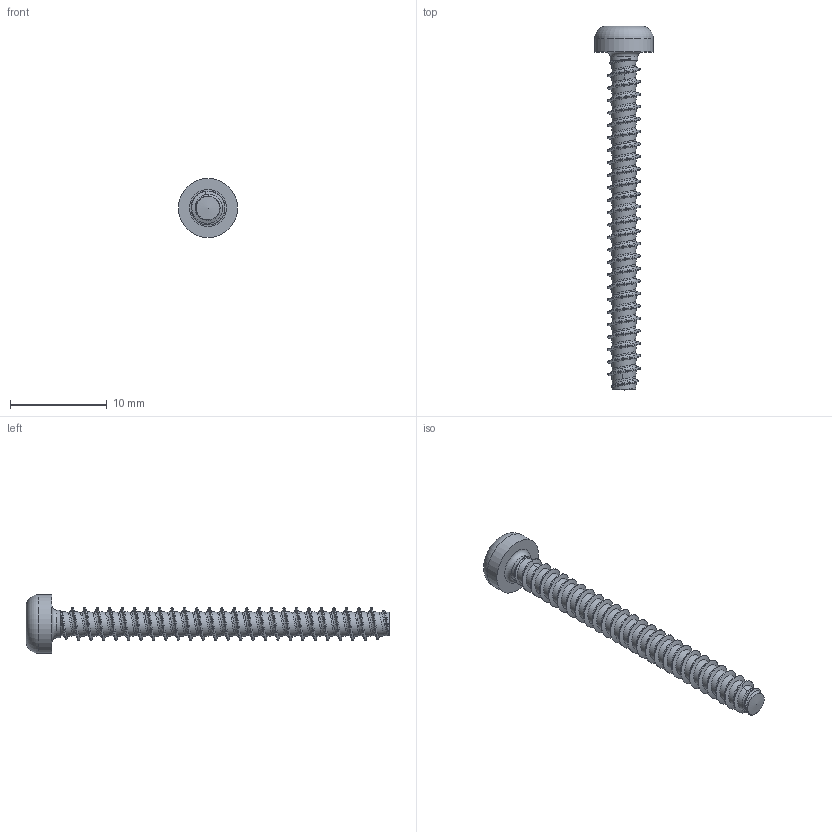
import cadquery as cq
import math


head_diameter = 6.1
head_height = 2.69
head_round = 1.3

collar_radius = 1.42
collar_length = 0.88
collar_fillet = 0.5

shank_length = 35.0
tip_cone_height = 0.09
core_length = shank_length - tip_cone_height
core_radius = 1.22

thread_pitch = 1.29
thread_radius = 1.75
crest_half_width = 0.03
root_radius = 1.31
root_half_width = 0.14
head_side_slope = math.radians(22)
tip_side_slope = math.radians(8.3)
foot_radius = core_radius - 0.015
buried_radius = 0.7

thread_start = 0.3
thread_start_radius = 1.32
full_thread_start = 2.1
full_thread_end = 33.1
thread_end = 35.2
thread_end_radius = 1.21

crest_depth = 33.07
crest_facing = -math.pi / 2
points_per_turn = 12


def make_head():
    head = cq.Workplane("XY").circle(head_diameter / 2).extrude(head_height)
    return head.faces(">Z").edges().fillet(head_round)


def make_collar():
    """Plain neck with a concave fillet against the underside of the head."""
    arc_inset = collar_fillet * (1 - math.sqrt(0.5))
    profile = (
        cq.Workplane("XZ")
        .moveTo(0, 0)
        .lineTo(collar_radius + collar_fillet, 0)
        .threePointArc(
            (collar_radius + arc_inset, -arc_inset),
            (collar_radius, -collar_fillet),
        )
        .lineTo(collar_radius, -collar_length)
        .lineTo(0, -collar_length)
        .close()
    )
    return profile.revolve(360, (0, 0, 0), (0, 1, 0))


def make_core():
    """Shank without the thread, ending in the shallow tip cone."""
    outline = [
        (0, 0),
        (core_radius, 0),
        (core_radius, -core_length),
        (0, -shank_length),
    ]
    return cq.Workplane("XZ").polyline(outline).close().revolve(360, (0, 0, 0), (0, 1, 0))


def thread_section(crest_radius):
    """Corners (radius, height) of the ridge's cross-section for a given crest radius."""
    root_top = min(root_radius, crest_radius)
    foot_drop = root_radius - foot_radius
    head_side_foot = root_half_width + foot_drop / math.tan(head_side_slope)
    tip_side_foot = -root_half_width - foot_drop / math.tan(tip_side_slope)
    return [
        (buried_radius, head_side_foot),
        (foot_radius, head_side_foot),
        (root_top, root_half_width),
        (crest_radius, crest_half_width),
        (crest_radius, -crest_half_width),
        (root_top, -root_half_width),
        (foot_radius, tip_side_foot),
        (buried_radius, tip_side_foot),
    ]


def helix_point(corner, depth):
    """Place of a cross-section corner when the ridge has turned to the given depth."""
    radius, height = corner
    angle = crest_facing + 2 * math.pi * (crest_depth - depth) / thread_pitch
    return cq.Vector(radius * math.cos(angle), radius * math.sin(angle), height - depth)


def helix_edge(start_corner, end_corner, start_depth, end_depth):
    """Path of one cross-section corner between two depths, its radius changing steadily."""
    start_radius, height = start_corner
    end_radius = end_corner[0]
    turns = (end_depth - start_depth) / thread_pitch
    steps = math.ceil(turns * points_per_turn)
    points = []
    for step in range(steps + 1):
        part = step / steps
        radius = start_radius + (end_radius - start_radius) * part
        depth = start_depth + (end_depth - start_depth) * part
        points.append(helix_point((radius, height), depth))
    return cq.Edge.makeSpline(points)


def thread_sides(start, end):
    """Helical faces between two stations, each a (depth, crest radius) pair."""
    start_depth, start_crest = start
    end_depth, end_crest = end
    corner_pairs = zip(thread_section(start_crest), thread_section(end_crest))
    edges = [helix_edge(first, last, start_depth, end_depth) for first, last in corner_pairs]
    return [cq.Face.makeRuledSurface(edges[i - 1], edges[i]) for i in range(len(edges))]


def thread_cap(station):
    """Flat face closing the ridge at one end."""
    depth, crest_radius = station
    corners = [helix_point(corner, depth) for corner in thread_section(crest_radius)]
    return cq.Face.makeFromWires(cq.Wire.makePolygon(corners, close=True))


def make_thread():
    """Ridge that grows, runs at full height and fades, cut off level with the end of the core."""
    stations = [
        (thread_start, thread_start_radius),
        (full_thread_start, thread_radius),
        (full_thread_end, thread_radius),
        (thread_end, thread_end_radius),
    ]
    faces = [thread_cap(stations[0]), thread_cap(stations[-1])]
    for start, end in zip(stations, stations[1:]):
        faces.extend(thread_sides(start, end))
    ridge = cq.Workplane(cq.Solid.makeSolid(cq.Shell.makeShell(faces)))
    kept_length = cq.Workplane("XY").circle(head_diameter / 2).extrude(-core_length)
    return ridge.intersect(kept_length)


screw = make_core().union(make_thread()).union(make_collar()).union(make_head())

centering = (shank_length - head_height) / 2
result = screw.rotate((0, 0, 0), (1, 0, 0), -90).translate((0, centering, 0)).solids()